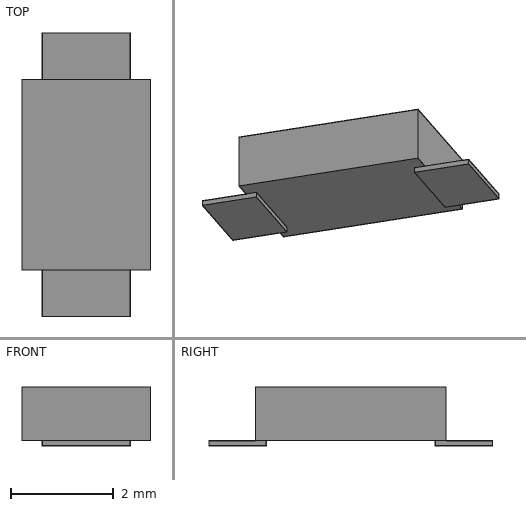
import cadquery as cq

overall_length = 5.52
overall_height = 1.15

lead_width = 1.715
lead_length = 1.12
lead_thickness = 0.1

housing_width = 2.5
housing_length = 3.71
housing_height = overall_height - lead_thickness


def make_housing():
    """Plain block whose underside rests on the top faces of the leads."""
    return (
        cq.Workplane("XY", origin=(0, 0, lead_thickness))
        .box(housing_width, housing_length, housing_height, centered=(True, True, False))
    )


def make_lead(end):
    """Flat strip at one end of the part: end is -1 for -Y and +1 for +Y."""
    center_y = end * (overall_length - lead_length) / 2
    return (
        cq.Workplane("XY", origin=(0, center_y, 0))
        .box(lead_width, lead_length, lead_thickness, centered=(True, True, False))
    )


housing = make_housing()
leads = [make_lead(end) for end in (-1, 1)]

result = cq.Compound.makeCompound([housing.val(), *(lead.val() for lead in leads)])